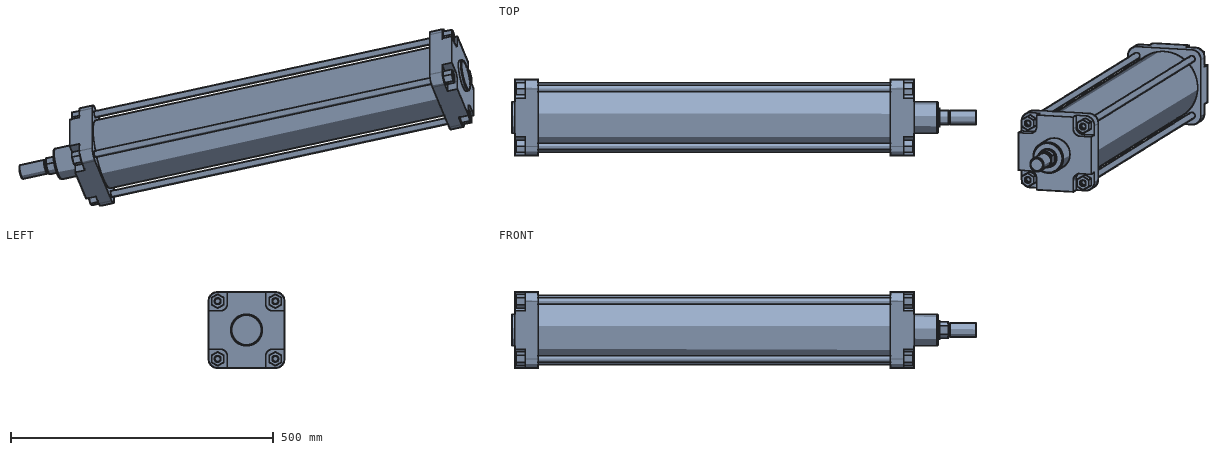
import math

import cadquery as cq

TOTAL_LENGTH = 885.0

BLOCK_SIZE = 145.0
TIE_OFFSET = 55.0
CORNER_RADIUS = BLOCK_SIZE / 2 - TIE_OFFSET
CAP_THICKNESS = 44.0
HEAD_THICKNESS = 45.0
BODY_LENGTH = 760.0
POCKET_DEPTH = 19.5
POCKET_EDGE = 36.0
POCKET_RADIUS = 14.0

BOSS_DIAMETER = 60.0
CAP_BOSS_CHAMFER = 2.0
HEAD_BOSS_CHAMFER_LENGTH = 3.0
HEAD_BOSS_CHAMFER_DEPTH = 2.0
CAP_BOSS_LENGTH = 6.0
HEAD_BOSS_LENGTH = 46.0
WIPER_DIAMETER = 35.0
WIPER_LENGTH = 3.0

BARREL_DIAMETER = 133.0

TIE_DIAMETER = 12.0
NUT_ACROSS_FLATS = 23.0
NUT_HEIGHT = 17.0
BORE_DIAMETER = 11.0
BORE_DEPTH = 9.0
BORE_CHAMFER = 1.0
BORE_CHAMFER_ANGLE = 90
BORE_MOUTH_DIAMETER = BORE_DIAMETER + 2 * BORE_CHAMFER

ROD_DIAMETER = 32.0
FLATS_ACROSS = 27.0
THREAD_DIAMETER = 27.0
THREAD_LENGTH = 54.0
THREAD_CHAMFER = 2.0
RELIEF_LENGTH = 3.0
RELIEF_DIAMETER = THREAD_DIAMETER - 2 * THREAD_CHAMFER

CAP_FACE = CAP_BOSS_LENGTH
HEAD_FACE = CAP_FACE + BODY_LENGTH
BARREL_START = CAP_FACE + CAP_THICKNESS
BARREL_END = HEAD_FACE - HEAD_THICKNESS
BOSS_END = HEAD_FACE + HEAD_BOSS_LENGTH
WIPER_END = BOSS_END + WIPER_LENGTH
SHOULDER = TOTAL_LENGTH - THREAD_LENGTH
TIE_POSITIONS = [(y, z) for y in (-TIE_OFFSET, TIE_OFFSET) for z in (-TIE_OFFSET, TIE_OFFSET)]


def plane_at(x):
    """Plane across the cylinder axis: local x is Y, local y is Z, normal is +X."""
    return cq.Workplane("YZ", origin=(x, 0, 0))


def rod_between(x_start, x_end, diameter):
    return plane_at(x_start).circle(diameter / 2).extrude(x_end - x_start)


def corner_pockets(x_start):
    """Four open corner recesses, rounded at the inner corner, that hold the nuts."""
    span = BLOCK_SIZE - POCKET_EDGE
    centre = POCKET_EDGE + span / 2
    positions = [(y, z) for y in (-centre, centre) for z in (-centre, centre)]
    pockets = plane_at(x_start).pushPoints(positions).rect(span, span).extrude(POCKET_DEPTH)
    return pockets.edges("|X").fillet(POCKET_RADIUS)


def end_block(x_start, thickness, pocket_start):
    """Rounded square block with corner pockets and through holes for the tie rods."""
    block = plane_at(x_start).rect(BLOCK_SIZE, BLOCK_SIZE).extrude(thickness)
    block = block.edges("|X").fillet(CORNER_RADIUS)
    block = block.cut(corner_pockets(pocket_start))
    tie_holes = plane_at(x_start).pushPoints(TIE_POSITIONS).circle(TIE_DIAMETER / 2).extrude(thickness)
    return block.cut(tie_holes)


def make_cap():
    block = end_block(CAP_FACE, CAP_THICKNESS, CAP_FACE)
    boss = rod_between(0, CAP_FACE, BOSS_DIAMETER).faces("<X").chamfer(CAP_BOSS_CHAMFER)
    return block.union(boss)


def make_head():
    """Head block with a coned boss, a wiper ring and the through hole for the piston rod."""
    block = end_block(BARREL_END, HEAD_THICKNESS, HEAD_FACE - POCKET_DEPTH)
    cone_start = BOSS_END - HEAD_BOSS_CHAMFER_LENGTH
    boss = rod_between(HEAD_FACE, cone_start, BOSS_DIAMETER)
    boss = boss.faces(">X").workplane().circle(BOSS_DIAMETER / 2)
    boss = boss.workplane(offset=HEAD_BOSS_CHAMFER_LENGTH)
    boss = boss.circle(BOSS_DIAMETER / 2 - HEAD_BOSS_CHAMFER_DEPTH).loft()
    wiper = rod_between(BOSS_END, WIPER_END, WIPER_DIAMETER)
    rod_hole = rod_between(BARREL_END, WIPER_END, ROD_DIAMETER)
    return block.union(boss).union(wiper).cut(rod_hole)


def make_barrel():
    return rod_between(BARREL_START, BARREL_END, BARREL_DIAMETER)


def make_nut(x_start):
    """Hexagonal nut centred on the X axis with two corners on the Z direction."""
    across_corners = NUT_ACROSS_FLATS / math.cos(math.pi / 6)
    hexagon = plane_at(x_start).transformed(rotate=(0, 0, 90)).polygon(6, across_corners)
    return hexagon.extrude(NUT_HEIGHT)


def make_tie_rod(y, z):
    """Tie rod between the pocket floors, with a nut and a countersunk blind bore on each end."""
    cap_seat = CAP_FACE + POCKET_DEPTH
    head_seat = HEAD_FACE - POCKET_DEPTH
    tie = rod_between(cap_seat, head_seat, TIE_DIAMETER)
    tie = tie.union(make_nut(cap_seat - NUT_HEIGHT)).union(make_nut(head_seat))
    for side in ("<X", ">X"):
        nut_face = tie.faces(side).workplane(origin=(0, 0, 0))
        tie = nut_face.cskHole(BORE_DIAMETER, BORE_MOUTH_DIAMETER, BORE_CHAMFER_ANGLE, BORE_DEPTH)
    return tie.translate((0, y, z))


def make_piston_rod():
    """Round rod with two wrench flats on the Y sides, a thread relief and a chamfered thread end."""
    rod = rod_between(BARREL_END, SHOULDER, ROD_DIAMETER)
    flats_blank = plane_at(WIPER_END).rect(FLATS_ACROSS, ROD_DIAMETER).extrude(SHOULDER - WIPER_END)
    shank = rod_between(BARREL_END, WIPER_END, ROD_DIAMETER)
    rod = shank.union(rod.intersect(flats_blank))
    relief = rod_between(SHOULDER, SHOULDER + RELIEF_LENGTH, RELIEF_DIAMETER)
    thread = rod_between(SHOULDER + RELIEF_LENGTH, TOTAL_LENGTH, THREAD_DIAMETER)
    thread = thread.faces("<X or >X").chamfer(THREAD_CHAMFER)
    return rod.union(relief).union(thread)


cap = make_cap()
head = make_head()
barrel = make_barrel()
piston_rod = make_piston_rod()
tie_rods = [make_tie_rod(y, z) for y, z in TIE_POSITIONS]

result = cq.Compound.makeCompound(
    [cap.val(), head.val(), barrel.val(), piston_rod.val(), *[tie.val() for tie in tie_rods]]
)